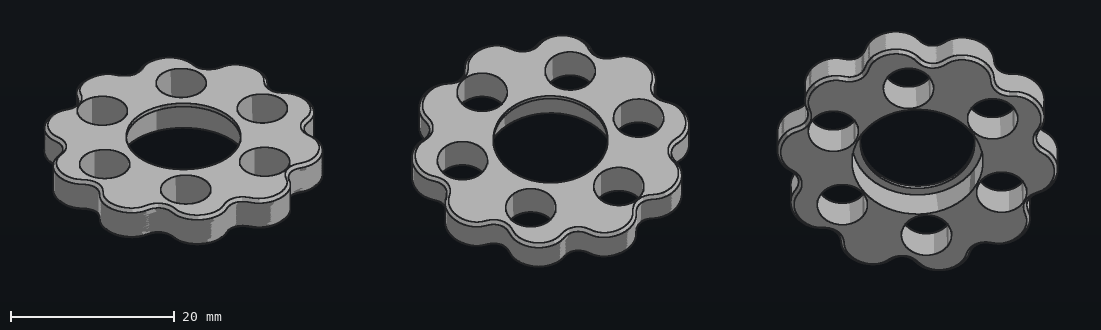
import cadquery as cq
import math

outer_diameter = 34.43
thickness = 4.4
lobe_count = 10
pin_count = lobe_count + 1
eccentricity = 1.17
pin_radius = 1.72
pin_circle_radius = outer_diameter / 2 + pin_radius - eccentricity
edge_chamfer = 0.4

bore_diameter = 14.0
pocket_diameter = 16.0
lip_height = 0.5
hole_diameter = 6.13
hole_circle_radius = 11.3
hole_count = 6

points_per_lobe = 24


def cycloid_point(angle):
    """Point on the disc outline, with a valley on +X and a lobe tip on +Y."""
    rolling = lobe_count * angle
    contact = math.atan2(
        -math.sin(rolling),
        pin_circle_radius / (eccentricity * pin_count) - math.cos(rolling),
    )
    x = (
        pin_circle_radius * math.cos(angle)
        - pin_radius * math.cos(angle + contact)
        - eccentricity * math.cos(pin_count * angle)
    )
    y = (
        pin_circle_radius * math.sin(angle)
        - pin_radius * math.sin(angle + contact)
        - eccentricity * math.sin(pin_count * angle)
    )
    return x, y


def lobed_disc():
    """Solid disc with both outer edges chamfered, bottom face on Z = 0."""
    point_count = lobe_count * points_per_lobe
    outline = [cycloid_point(2 * math.pi * i / point_count) for i in range(point_count)]
    disc = cq.Workplane("XY").spline(outline, periodic=True).wire().extrude(thickness)
    return disc.faces("<Z or >Z").edges().chamfer(edge_chamfer)


def bearing_seat_cutter():
    """Through bore widened from the bottom face up to the lip."""
    bore = cq.Workplane("XY").circle(bore_diameter / 2).extrude(thickness)
    pocket = cq.Workplane("XY").circle(pocket_diameter / 2).extrude(thickness - lip_height)
    return bore.union(pocket)


def pin_holes_cutter():
    """Ring of through cylinders for the output pins."""
    return (
        cq.Workplane("XY")
        .polarArray(hole_circle_radius, 0, 360, hole_count)
        .circle(hole_diameter / 2)
        .extrude(thickness)
    )


result = lobed_disc().cut(bearing_seat_cutter()).cut(pin_holes_cutter())